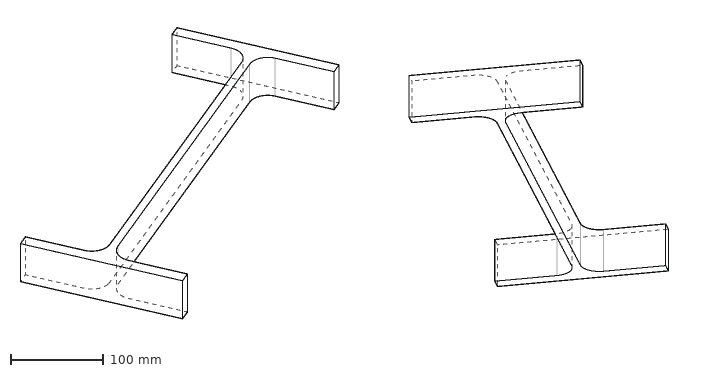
import cadquery as cq

beam_depth = 450.0
flange_width = 190.0
beam_length = 50.0
flange_thickness = 14.5
web_thickness = 9.5
root_radius = 21.0

flange_offset = (beam_depth - flange_thickness) / 2


def make_flange(side):
    """Flange plate at the +Y (side = 1) or -Y (side = -1) end of the web."""
    return (
        cq.Workplane("XY")
        .center(0, side * flange_offset)
        .rect(flange_width, flange_thickness)
        .extrude(beam_length)
    )


web = (
    cq.Workplane("XY")
    .rect(web_thickness, 2 * flange_offset)
    .extrude(beam_length)
)

beam = web
for side in (-1, 1):
    beam = beam.union(make_flange(side))

root_corners = cq.selectors.BoxSelector(
    (-web_thickness, -flange_offset, 0),
    (web_thickness, flange_offset, beam_length),
)
result = beam.edges("|Z").edges(root_corners).fillet(root_radius)